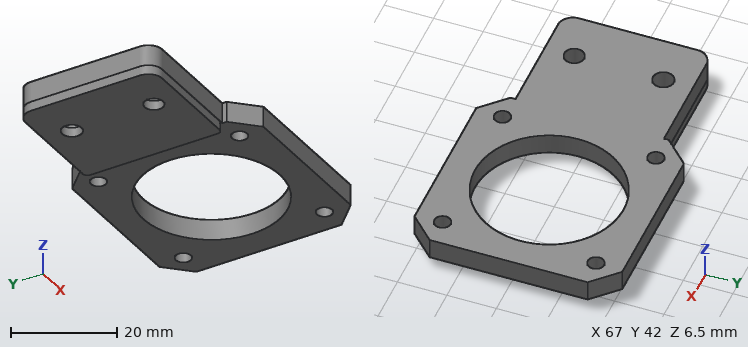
import cadquery as cq

MOTOR_SIDE = 42.0
MOTOR_CORNER_CUT = 5.0
BORE_DIAMETER = 30.0
SCREW_PITCH = 31.0
SCREW_HOLE_DIAMETER = 3.3

TOTAL_LENGTH = 67.0
TAB_WIDTH = BORE_DIAMETER
TAB_CORNER_RADIUS = 3.0
TAB_LENGTH = TOTAL_LENGTH - MOTOR_SIDE
TAB_HOLE_INSET = 10.0
TAB_HOLE_PITCH = 18.0
FRONT_TAB_HOLE_DIAMETER = 4.0
BACK_TAB_HOLE_DIAMETER = 4.2

BRACKET_THICKNESS = 4.5
SPACER_THICKNESS = 2.0
SPACER_INNER_RADIUS = 1.0

TAB_ROOT_X = -MOTOR_SIDE / 2
TAB_END_X = TAB_ROOT_X - TAB_LENGTH
TAB_HOLE_X = TAB_END_X + TAB_HOLE_INSET


def tab_block(length, thickness):
    """Block as wide as the tab, from the tab end toward +X, with its two outer corners rounded."""
    return (
        cq.Workplane("XY", origin=(TAB_END_X, 0, 0))
        .box(length, TAB_WIDTH, thickness, centered=(False, True, False))
        .edges("|Z and <X")
        .fillet(TAB_CORNER_RADIUS)
    )


def cut_tab_holes(body):
    """Cut the two tab holes, of slightly different size, right through a body."""
    for side, diameter in ((-1, FRONT_TAB_HOLE_DIAMETER), (1, BACK_TAB_HOLE_DIAMETER)):
        hole_y = side * TAB_HOLE_PITCH / 2
        body = body.faces(">Z").workplane(origin=(TAB_HOLE_X, hole_y, 0)).hole(diameter)
    return body


def make_bracket():
    """Motor plate and mounting tab in one piece."""
    motor_plate = (
        cq.Workplane("XY")
        .box(MOTOR_SIDE, MOTOR_SIDE, BRACKET_THICKNESS, centered=(True, True, False))
        .edges("|Z")
        .chamfer(MOTOR_CORNER_CUT)
    )
    tab = tab_block(-TAB_END_X, BRACKET_THICKNESS)
    plate = motor_plate.union(tab)

    plate = plate.faces(">Z").workplane(origin=(0, 0, 0)).hole(BORE_DIAMETER)
    plate = (
        plate.faces(">Z")
        .workplane(origin=(0, 0, 0))
        .rarray(SCREW_PITCH, SCREW_PITCH, 2, 2)
        .hole(SCREW_HOLE_DIAMETER)
    )
    return cut_tab_holes(plate)


def make_spacer():
    """Flat pad under the tab, with small rounds on the corners next to the motor plate."""
    pad = tab_block(TAB_LENGTH, SPACER_THICKNESS)
    pad = pad.edges("|Z and >X").fillet(SPACER_INNER_RADIUS)
    return cut_tab_holes(pad).translate((0, 0, -SPACER_THICKNESS))


bracket = make_bracket()
spacer = make_spacer()

result = cq.Compound.makeCompound([bracket.val(), spacer.val()])